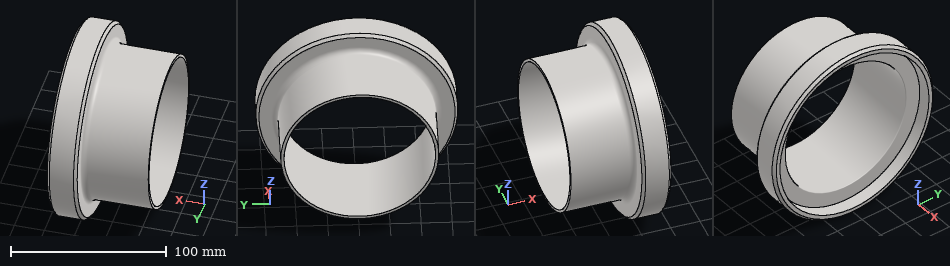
import cadquery as cq

total_length = 64.0
flange_diameter = 130.0
flange_thickness = 20.0
tube_diameter = 101.7
bore_diameter = 97.4

recess_floor_diameter = 119.0
recess_mouth_diameter = 120.2
recess_depth = 9.0

flange_chamfer = 2.0
neck_fillet = 4.0
bore_mouth_fillet = 0.6

tube_length = total_length - flange_thickness
recess_floor = total_length - recess_depth


def disc(diameter, start, length):
    """Solid cylinder along +X, beginning at the given X position."""
    return cq.Workplane("YZ").workplane(offset=start).circle(diameter / 2).extrude(length)


flange = disc(flange_diameter, tube_length, flange_thickness).edges().chamfer(flange_chamfer)

body = flange.union(disc(tube_diameter, 0, total_length))
neck_corner = cq.selectors.BoxSelector(
    (tube_length - neck_fillet, -tube_diameter, -tube_diameter),
    (tube_length + neck_fillet, tube_diameter, tube_diameter),
)
body = body.edges(neck_corner).edges(cq.selectors.RadiusNthSelector(0)).fillet(neck_fillet)

body = body.cut(disc(bore_diameter, 0, total_length))

recess = (
    cq.Workplane("YZ")
    .workplane(offset=recess_floor)
    .circle(recess_floor_diameter / 2)
    .workplane(offset=recess_depth)
    .circle(recess_mouth_diameter / 2)
    .loft(ruled=True)
)
body = body.cut(recess)

bore_mouth = cq.selectors.BoxSelector(
    (recess_floor - bore_mouth_fillet, -bore_diameter, -bore_diameter),
    (recess_floor + bore_mouth_fillet, bore_diameter, bore_diameter),
)
result = body.edges(bore_mouth).edges(cq.selectors.RadiusNthSelector(0)).fillet(bore_mouth_fillet)